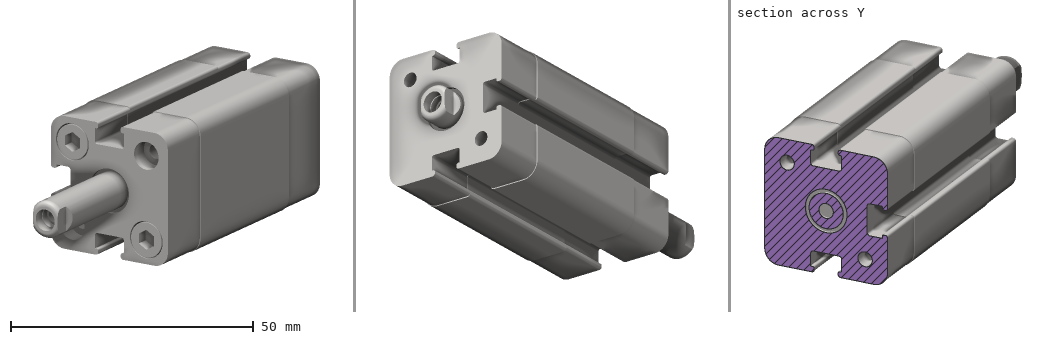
import cadquery as cq
import math

TOTAL_LENGTH = 87.0
FRONT_ROD_LENGTH = 24.45
REAR_ROD_LENGTH = 4.5
CAP_LENGTH = 12.2

FRONT_TIP = -TOTAL_LENGTH / 2
REAR_TIP = TOTAL_LENGTH / 2
FRONT_FACE = FRONT_TIP + FRONT_ROD_LENGTH
REAR_FACE = REAR_TIP - REAR_ROD_LENGTH
BODY_LENGTH = REAR_FACE - FRONT_FACE

BARREL_WIDTH = 29.1
CAP_INSET = 0.22
CAP_WIDTH = BARREL_WIDTH - 2 * CAP_INSET
BARREL_CORNER_RADIUS = 3.65
CAP_CORNER_RADIUS = 3.3

SLOT_FLOOR = 9.6
BARREL_SLOT_WIDTH = 6.6
CAP_SLOT_WIDTH = BARREL_SLOT_WIDTH + 2 * CAP_INSET
SLOT_MOUTH_WIDTH = 5.5
LIP_BOTTOM = 13.0
LIP_OUTER_RADIUS = 0.6
LIP_INNER_RADIUS = 0.4
FLOOR_CORNER_RADIUS = 0.5
SLOT_ANGLES = (0, 90, 180)

FASTENER_OFFSET = 9.05
SCREW_BORE_DIAMETER = 8.0
SCREW_HEAD_DIAMETER = 7.5
SCREW_GAP_DEPTH = 4.35
HEX_CORNER_DIAMETER = 4.3
HEX_DEPTH = 2.6
MOUNT_HOLE_DIAMETER = 3.2
MOUNT_BORE_DIAMETER = 6.0
MOUNT_BORE_DEPTH = 3.7
SCREW_POSITIONS = ((-FASTENER_OFFSET, FASTENER_OFFSET), (FASTENER_OFFSET, -FASTENER_OFFSET))
MOUNT_POSITIONS = ((FASTENER_OFFSET, FASTENER_OFFSET), (-FASTENER_OFFSET, -FASTENER_OFFSET))

ROD_DIAMETER = 8.0
ROD_TIP_RADIUS = 1.1
FLAT_WIDTH = 6.0
FLAT_LENGTH = 3.2
ROD_BORE_DIAMETER = 9.6
ROD_BORE_DEPTH = 0.9
HOLE_MOUTH_DIAMETER = 4.6
HOLE_MOUTH_DEPTH = 2.3
HOLE_BORE_DIAMETER = 4.2
HOLE_BORE_DEPTH = 3.9
HOLE_PILOT_DIAMETER = 3.2
HOLE_PILOT_DEPTH = 7.0
DRILL_POINT_ANGLE = 118.0


def section_at(y):
    """Sketch plane facing -Y, with local X along +X and local Y along +Z."""
    return cq.Workplane("XZ", origin=(0, y, 0))


def cylinder(diameter, y_start, length, positions=((0, 0),)):
    """Cylinders running toward +Y from y_start."""
    return section_at(y_start).pushPoints(positions).circle(diameter / 2).extrude(-length)


def slot_cutter(outer_half, slot_width, y_start, length, angle):
    """Slot with rounded lips, drawn on the +Z side and turned about Y."""
    mouth = SLOT_MOUTH_WIDTH / 2
    wall = slot_width / 2
    outer = LIP_OUTER_RADIUS
    inner = LIP_INNER_RADIUS
    outer_mid = outer * (1 - math.sqrt(0.5))
    inner_mid = inner * (1 - math.sqrt(0.5))
    half_outline = (
        section_at(y_start)
        .moveTo(0, SLOT_FLOOR)
        .lineTo(wall, SLOT_FLOOR)
        .lineTo(wall, LIP_BOTTOM)
        .lineTo(mouth + inner, LIP_BOTTOM)
        .threePointArc((mouth + inner_mid, LIP_BOTTOM + inner_mid), (mouth, LIP_BOTTOM + inner))
        .lineTo(mouth, outer_half - outer)
        .threePointArc((mouth + outer_mid, outer_half - outer_mid), (mouth + outer, outer_half))
        .lineTo(0, outer_half)
    )
    cutter = half_outline.mirrorY().extrude(-length).edges("|Y and <Z").fillet(FLOOR_CORNER_RADIUS)
    return cutter.rotate((0, 0, 0), (0, 1, 0), -angle)


def slotted_block(width, corner_radius, slot_width, y_start, length):
    block = section_at(y_start).rect(width, width).extrude(-length).edges("|Y").fillet(corner_radius)
    for angle in SLOT_ANGLES:
        block = block.cut(slot_cutter(width / 2, slot_width, y_start, length, angle))
    return block


def make_body():
    barrel_start = FRONT_FACE + CAP_LENGTH
    barrel_length = BODY_LENGTH - 2 * CAP_LENGTH
    body = slotted_block(BARREL_WIDTH, BARREL_CORNER_RADIUS, BARREL_SLOT_WIDTH, barrel_start, barrel_length)
    for cap_start in (FRONT_FACE, REAR_FACE - CAP_LENGTH):
        cap = slotted_block(CAP_WIDTH, CAP_CORNER_RADIUS, CAP_SLOT_WIDTH, cap_start, CAP_LENGTH)
        body = body.union(cap)
    return body


def cut_mount_holes(body):
    body = body.cut(cylinder(MOUNT_HOLE_DIAMETER, FRONT_FACE, BODY_LENGTH, MOUNT_POSITIONS))
    return body.cut(cylinder(MOUNT_BORE_DIAMETER, FRONT_FACE, MOUNT_BORE_DEPTH, MOUNT_POSITIONS))


def cut_screws(body):
    """A ring gap around each flush screw head, and a hexagon socket in it."""
    bores = cylinder(SCREW_BORE_DIAMETER, FRONT_FACE, SCREW_GAP_DEPTH, SCREW_POSITIONS)
    heads = cylinder(SCREW_HEAD_DIAMETER, FRONT_FACE, SCREW_GAP_DEPTH, SCREW_POSITIONS)
    body = body.cut(bores.cut(heads))
    for x, z in SCREW_POSITIONS:
        socket = section_at(FRONT_FACE).polygon(6, HEX_CORNER_DIAMETER).extrude(-HEX_DEPTH)
        socket = socket.rotate((0, 0, 0), (0, 1, 0), 90).translate((x, 0, z))
        body = body.cut(socket)
    return body


def cut_rod_bores(body):
    body = body.cut(cylinder(ROD_BORE_DIAMETER, FRONT_FACE, ROD_BORE_DEPTH))
    return body.cut(cylinder(ROD_BORE_DIAMETER, REAR_FACE - ROD_BORE_DEPTH, ROD_BORE_DEPTH))


def flat_cutter():
    """Removes the +X side of the front rod end: a flat with a 45 degree run-out."""
    flat = FLAT_WIDTH / 2
    outside = ROD_DIAMETER
    runout = outside - flat
    flat_end = FRONT_TIP + FLAT_LENGTH
    return (
        cq.Workplane("XY")
        .moveTo(flat, FRONT_TIP)
        .lineTo(outside, FRONT_TIP)
        .lineTo(outside, flat_end + runout)
        .lineTo(flat, flat_end)
        .close()
        .extrude(ROD_DIAMETER / 2, both=True)
    )


def rod_hole():
    """Blind hole in the front rod end, narrowing in steps down to a conical drill point."""
    mouth = cylinder(HOLE_MOUTH_DIAMETER, FRONT_TIP, HOLE_MOUTH_DEPTH)
    bore = cylinder(HOLE_BORE_DIAMETER, FRONT_TIP, HOLE_BORE_DEPTH)
    pilot = cylinder(HOLE_PILOT_DIAMETER, FRONT_TIP, HOLE_PILOT_DEPTH)
    pilot_radius = HOLE_PILOT_DIAMETER / 2
    pilot_end = cq.Vector(0, FRONT_TIP + HOLE_PILOT_DEPTH, 0)
    point_length = pilot_radius / math.tan(math.radians(DRILL_POINT_ANGLE / 2))
    point = cq.Solid.makeCone(pilot_radius, 0, point_length, pilot_end, cq.Vector(0, 1, 0))
    return mouth.union(bore).union(pilot).union(cq.Workplane(point))


def make_rod():
    rod = cylinder(ROD_DIAMETER, FRONT_TIP, TOTAL_LENGTH).faces("<Y or >Y").edges().fillet(ROD_TIP_RADIUS)
    flat = flat_cutter()
    end_cuts = flat.union(flat.mirror("YZ")).union(rod_hole())
    return rod.cut(end_cuts).cut(end_cuts.mirror("XZ"))


body = cut_rod_bores(cut_screws(cut_mount_holes(make_body())))
result = body.union(make_rod())